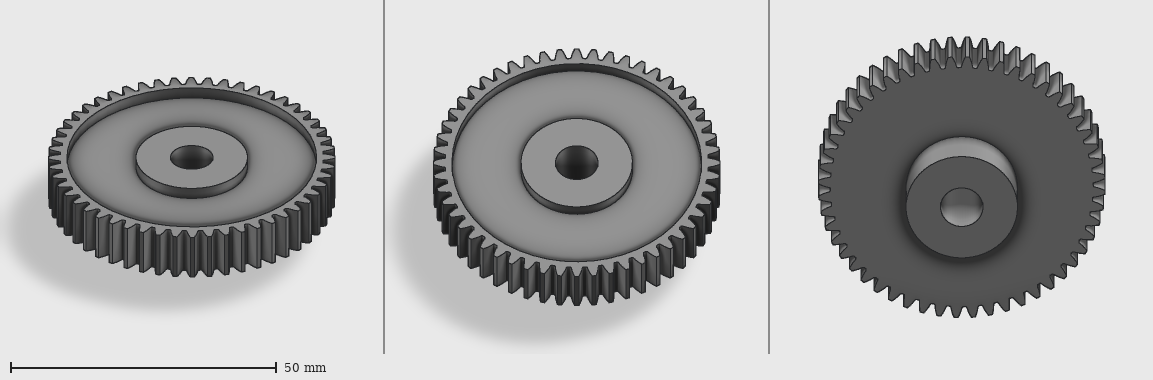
import cadquery as cq
import math


overall_width = 53.95
tooth_count = 52
pressure_angle = math.radians(20)
addendum_factor = 1.0
dedendum_factor = 1.25
face_width = 9.0
hub_length = 9.0
hub_diameter = 21.0
bore_diameter = 8.0
recess_diameter = 47.0
recess_depth = 2.25
root_fillet_radius = 0.3
flank_point_count = 6


def involute(angle):
    """Involute function of a pressure angle in radians."""
    return math.tan(angle) - angle


unit_pitch_radius = tooth_count / 2
unit_tip_radius = unit_pitch_radius + addendum_factor
unit_base_radius = unit_pitch_radius * math.cos(pressure_angle)
pitch_angle = 2 * math.pi / tooth_count
half_tooth_at_pitch = pitch_angle / 4


def half_tooth_angle(unit_radius):
    """Half the angle spanned by a tooth at a radius given in modules."""
    local_pressure_angle = math.acos(unit_base_radius / unit_radius)
    return half_tooth_at_pitch + involute(pressure_angle) - involute(local_pressure_angle)


tip_corner_angle = pitch_angle / 2 - half_tooth_angle(unit_tip_radius)
tip_radius = overall_width / 2 / math.cos(tip_corner_angle)
module = tip_radius / unit_tip_radius
root_radius = module * (unit_pitch_radius - dedendum_factor)


def polar(radius, angle):
    return (radius * math.cos(angle), radius * math.sin(angle))


def flank(tooth_angle, side):
    """Root-to-tip involute points on one side (-1 or +1) of a tooth."""
    points = []
    for i in range(flank_point_count):
        radius = root_radius + (tip_radius - root_radius) * i / (flank_point_count - 1)
        points.append(polar(radius, tooth_angle + side * half_tooth_angle(radius / module)))
    return points


def make_toothed_blank():
    """Full-width gear blank with involute teeth and filleted roots."""
    first_tooth_angle = pitch_angle / 2
    outline = cq.Workplane("XY").moveTo(*flank(first_tooth_angle, -1)[0])
    for i in range(tooth_count):
        tooth_angle = first_tooth_angle + i * pitch_angle
        next_tooth_angle = tooth_angle + pitch_angle
        rising = flank(tooth_angle, -1)
        falling = flank(tooth_angle, 1)[::-1]
        outline = outline.spline(rising[1:], includeCurrent=True)
        outline = outline.threePointArc(polar(tip_radius, tooth_angle), falling[0])
        outline = outline.spline(falling[1:], includeCurrent=True)
        space_middle = polar(root_radius, tooth_angle + pitch_angle / 2)
        outline = outline.threePointArc(space_middle, flank(next_tooth_angle, -1)[0])
    blank = outline.close().extrude(face_width)

    middle_radius = (root_radius + tip_radius) / 2
    root_edges = blank.edges("|Z").filter(
        lambda edge: math.hypot(edge.Center().x, edge.Center().y) < middle_radius
    )
    return root_edges.fillet(root_fillet_radius)


def make_recess():
    """Ring-shaped pocket between the rim and the hub."""
    return (
        cq.Workplane("XY")
        .workplane(offset=face_width - recess_depth)
        .circle(recess_diameter / 2)
        .circle(hub_diameter / 2)
        .extrude(recess_depth)
    )


def make_lower_hub():
    return cq.Workplane("XY").circle(hub_diameter / 2).extrude(-hub_length)


def make_bore():
    return (
        cq.Workplane("XY")
        .workplane(offset=-hub_length)
        .circle(bore_diameter / 2)
        .extrude(hub_length + face_width)
    )


result = make_toothed_blank().cut(make_recess()).union(make_lower_hub()).cut(make_bore())